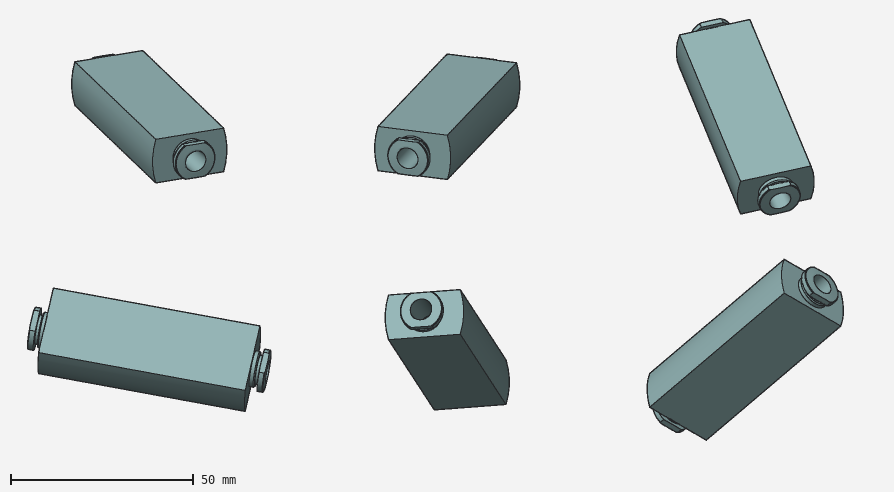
import cadquery as cq

total_length = 66.1
body_width = 22.0
body_height = 13.0
flat_width = 20.1

fitting_length = 4.2
collar_start = 2.8
collar_chamfer = 0.3
collar_diameter = 10.0
neck_diameter = 8.1
flange_end = 1.85
flange_back_end = 1.9
flange_diameter = 11.75
flange_flats = collar_diameter
face_cone_depth = 0.2
face_rim_diameter = 11.4
rim_end = 0.4

bore_diameter = 6.0
lip_diameter = 7.0
bore_depth = 13.2

end_x = total_length / 2
body_length = total_length - 2 * fitting_length


def make_body():
    """Bar with flat top and bottom and bulged sides."""
    half_flat = flat_width / 2
    half_width = body_width / 2
    half_height = body_height / 2
    return (
        cq.Workplane("YZ", origin=(-body_length / 2, 0, 0))
        .moveTo(-half_flat, half_height)
        .lineTo(half_flat, half_height)
        .threePointArc((half_width, 0), (half_flat, -half_height))
        .lineTo(-half_flat, -half_height)
        .threePointArc((-half_width, 0), (-half_flat, half_height))
        .close()
        .extrude(body_length)
    )


def revolve_about_x(profile):
    """Revolve (distance from the left end, diameter) points about the X axis."""
    points = [(distance - end_x, diameter / 2) for distance, diameter in profile]
    return cq.Workplane("XY").polyline(points).close().revolve(360, (0, 0, 0), (1, 0, 0))


def make_flange():
    """Release flange with a flat lip, conical face, sloped back and flats above and below."""
    disc = revolve_about_x([
        (0, 0),
        (0, lip_diameter),
        (face_cone_depth, face_rim_diameter),
        (rim_end, flange_diameter),
        (flange_end, flange_diameter),
        (flange_back_end, neck_diameter),
        (flange_back_end, 0),
    ])
    flats = cq.Workplane("XY").box(total_length, flange_diameter, flange_flats)
    return disc.intersect(flats)


def make_neck_and_collar():
    """Narrow neck behind the flange and the chamfered collar against the body."""
    return revolve_about_x([
        (flange_back_end, 0),
        (flange_back_end, neck_diameter),
        (collar_start, neck_diameter),
        (collar_start, collar_diameter - 2 * collar_chamfer),
        (collar_start + collar_chamfer, collar_diameter),
        (fitting_length, collar_diameter),
        (fitting_length, 0),
    ])


def make_bore():
    """Blind tube socket."""
    return revolve_about_x([
        (0, 0),
        (0, bore_diameter),
        (bore_depth, bore_diameter),
        (bore_depth, 0),
    ])


fitting = make_flange().union(make_neck_and_collar())
bore = make_bore()

result = make_body()
axis_end = (0, 0, 1)
for turn in (0, 180):
    result = result.union(fitting.rotate((0, 0, 0), axis_end, turn))
    result = result.cut(bore.rotate((0, 0, 0), axis_end, turn))